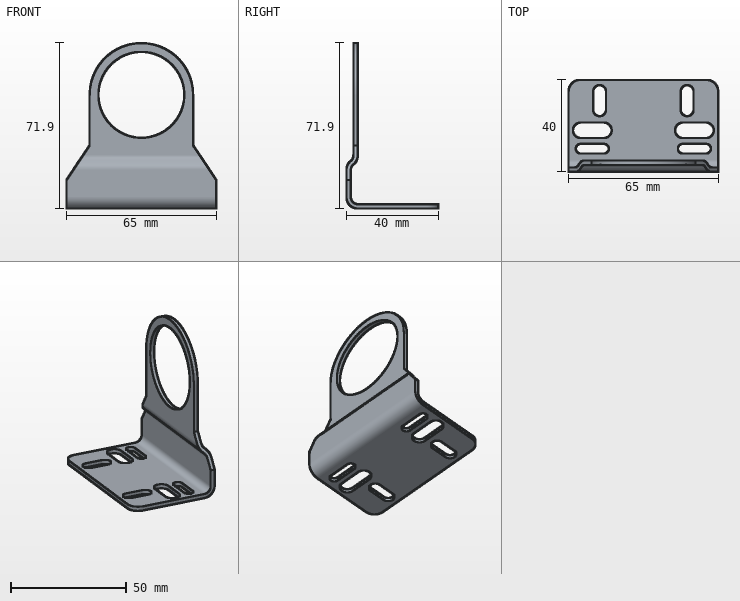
import cadquery as cq
import math

width = 65.0
depth = 40.0
height = 71.9

thickness = 2.0
bend_outer = 5.0
bend_inner = bend_outer - thickness
jog_offset = 3.0
jog_start = 16.8

ring_radius = 22.5
ring_center_z = height - ring_radius
hole_diameter = 37.2
shoulder_z = 12.5
neck_z = 27.5

corner_radius = 5.0

slots = [
    (19.0, 30.9, 13.4, 5.5, 90),
    (22.15, 18.05, 16.7, 6.6, 0),
    (22.15, 10.1, 14.25, 4.1, 0),
]


def bent_sheet():
    """Side profile of the bent sheet, extruded across the full width."""
    radius_sum = bend_outer + bend_inner
    jog_angle = math.acos(1 - jog_offset / radius_sum)
    jog_end = jog_start + radius_sum * math.sin(jog_angle)
    back_y = jog_offset + thickness

    def bend_point(center_y, center_z, radius, angle):
        return (center_y + radius * math.cos(angle), center_z + radius * math.sin(angle))

    def lower_bend(radius, fraction):
        return bend_point(bend_outer, jog_start, radius, math.pi - fraction * jog_angle)

    def upper_bend(radius, fraction):
        return bend_point(jog_offset - bend_inner, jog_end, radius, -fraction * jog_angle)

    def base_bend(radius):
        return bend_point(bend_outer, bend_outer, radius, 1.25 * math.pi)

    profile = (
        cq.Workplane("YZ", origin=(-width / 2, 0, 0))
        .moveTo(depth, 0)
        .lineTo(bend_outer, 0)
        .threePointArc(base_bend(bend_outer), (0, bend_outer))
        .lineTo(0, jog_start)
        .threePointArc(lower_bend(bend_outer, 0.5), lower_bend(bend_outer, 1))
        .threePointArc(upper_bend(bend_inner, 0.5), (jog_offset, jog_end))
        .lineTo(jog_offset, height)
        .lineTo(back_y, height)
        .lineTo(back_y, jog_end)
        .threePointArc(upper_bend(bend_outer, 0.5), upper_bend(bend_outer, 1))
        .threePointArc(lower_bend(bend_inner, 0.5), (thickness, jog_start))
        .lineTo(thickness, bend_outer)
        .threePointArc(base_bend(bend_inner), (bend_outer, thickness))
        .lineTo(depth, thickness)
        .close()
    )
    return profile.extrude(width)


def upright_outline():
    """Front outline with tapered shoulders and a round top, as a full-depth prism."""
    return (
        cq.Workplane("XZ")
        .moveTo(-width / 2, 0)
        .lineTo(width / 2, 0)
        .lineTo(width / 2, shoulder_z)
        .lineTo(ring_radius, neck_z)
        .lineTo(ring_radius, ring_center_z)
        .threePointArc((0, height), (-ring_radius, ring_center_z))
        .lineTo(-ring_radius, neck_z)
        .lineTo(-width / 2, shoulder_z)
        .close()
        .extrude(-depth)
    )


def ring_hole():
    return cq.Workplane("XZ").center(0, ring_center_z).circle(hole_diameter / 2).extrude(-depth)


def base_slots():
    cutters = cq.Workplane("XY")
    for side_x, front_y, length, slot_width, angle in slots:
        cutter = (
            cq.Workplane("XY")
            .pushPoints([(-side_x, front_y), (side_x, front_y)])
            .slot2D(length, slot_width, angle)
            .extrude(thickness)
        )
        cutters = cutters.add(cutter)
    return cutters.combine()


result = bent_sheet().intersect(upright_outline())
result = result.edges("|Z and >Y").fillet(corner_radius)
result = result.cut(ring_hole()).cut(base_slots())